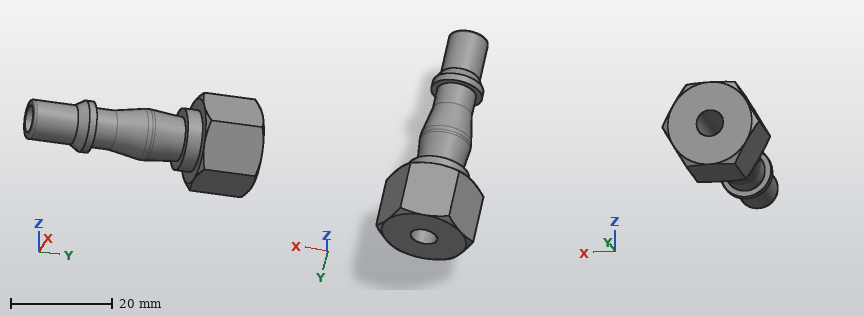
import cadquery as cq
import math


total_length = 46.0
bore_diameter = 5.4

nut_across_flats = 17.0
nut_length = 12.0
nut_chamfer_angle = 30.0

collar_diameter = 12.4
collar_end = 15.0

bulge_start_diameter = 8.9
bulge_crest_diameter = 10.3
bulge_crest_radius = 5.0
arc_centre_radius = bulge_crest_diameter / 2 - bulge_crest_radius
crest_station = 22.0
bulge_end = 29.0

stem_diameter = 7.9
flange_diameter = bulge_crest_diameter
flange_start = 33.5
flange_bevel_start = 35.0
flange_end = 37.0
tip_fillet = 0.45


def tangent_angle(axial_run, end_radius):
    """Slope angle of the cone that leaves the crest arc and reaches end_radius after axial_run."""
    radial_rise = end_radius - arc_centre_radius
    distance = math.hypot(axial_run, radial_rise)
    return math.atan2(axial_run, radial_rise) - math.acos(bulge_crest_radius / distance)


def crest_point(angle):
    """Point on the crest arc; a positive angle leans towards the tip."""
    radius = arc_centre_radius + bulge_crest_radius * math.cos(angle)
    station = crest_station + bulge_crest_radius * math.sin(angle)
    return (radius, -station)


def make_nut():
    """Hexagonal prism with corners on the X axis, both ends chamfered by a cone."""
    across_corners = nut_across_flats / math.cos(math.pi / 6)
    prism = (
        cq.Workplane("XZ")
        .polygon(6, across_corners)
        .extrude(nut_length)
    )
    face_radius = nut_across_flats / 2
    corner_radius = across_corners / 2
    chamfer_depth = (corner_radius - face_radius) * math.tan(math.radians(nut_chamfer_angle))
    envelope = (
        cq.Workplane("XY")
        .moveTo(0, 0)
        .lineTo(face_radius, 0)
        .lineTo(corner_radius, -chamfer_depth)
        .lineTo(corner_radius, chamfer_depth - nut_length)
        .lineTo(face_radius, -nut_length)
        .lineTo(0, -nut_length)
        .close()
        .revolve(360, (0, 0), (0, 1))
    )
    return prism.intersect(envelope)


def make_stem():
    """Collar, bulge, flange and tip as one turned body about the Y axis."""
    collar_radius = collar_diameter / 2
    bulge_start_radius = bulge_start_diameter / 2
    stem_radius = stem_diameter / 2
    flange_radius = flange_diameter / 2
    rear_angle = tangent_angle(crest_station - collar_end, bulge_start_radius)
    front_angle = tangent_angle(bulge_end - crest_station, stem_radius)

    body = (
        cq.Workplane("XY")
        .moveTo(0, -nut_length)
        .lineTo(collar_radius, -nut_length)
        .lineTo(collar_radius, -collar_end)
        .lineTo(bulge_start_radius, -collar_end)
        .lineTo(*crest_point(-rear_angle))
        .threePointArc(crest_point(-rear_angle / 2), crest_point(0))
        .threePointArc(crest_point(front_angle / 2), crest_point(front_angle))
        .lineTo(stem_radius, -bulge_end)
        .lineTo(stem_radius, -flange_start)
        .lineTo(flange_radius, -flange_start)
        .lineTo(flange_radius, -flange_bevel_start)
        .lineTo(stem_radius, -flange_end)
        .lineTo(stem_radius, -total_length)
        .lineTo(0, -total_length)
        .close()
        .revolve(360, (0, 0), (0, 1))
    )
    return body.faces("<Y").edges().fillet(tip_fillet)


def make_bore():
    """Straight passage through the full length."""
    return cq.Workplane("XZ").circle(bore_diameter / 2).extrude(total_length)


result = make_nut().union(make_stem()).cut(make_bore())